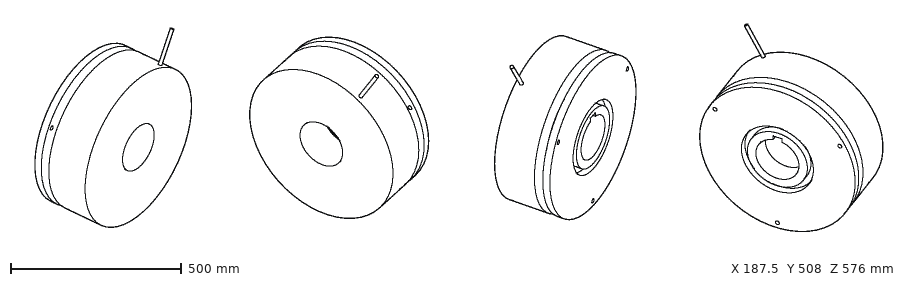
import cadquery as cq
import math

TOTAL_WIDTH = 187.5
FLANGE_THICKNESS = 24.0
BODY_START = 52.5
OUTER_RADIUS = 254.0
NECK_RADIUS = 190.5

BORE_RADIUS = 70.0
CLEARANCE_RADIUS = 75.5
HUB_LENGTH = 64.0
KEYWAY_WIDTH = 29.0
KEYWAY_TOP = 82.0

HUB_RADIUS = 98.0
GAP_OUTER_RADIUS = 117.5
GAP_DEPTH = 24.0

HOLE_COUNT = 3
HOLE_RADIUS = 6.5
HOLE_CIRCLE_RADIUS = 235.0
FIRST_HOLE_ANGLE = -90.0

TOTAL_HEIGHT = 576.0
CABLE_X = 169.0
CABLE_RADIUS = 6.0
CABLE_LEAN = math.radians(30)
CABLE_ROOT = 230.5
CABLE_TOP = TOTAL_HEIGHT - OUTER_RADIUS
CABLE_REACH = (CABLE_TOP - CABLE_RADIUS * math.sin(CABLE_LEAN)) / math.cos(CABLE_LEAN)


def disc(radius, start, end):
    """Solid cylinder about X between two stations."""
    return cq.Workplane("YZ", origin=(start, 0, 0)).circle(radius).extrude(end - start)


def make_drum():
    flange = disc(OUTER_RADIUS, 0, FLANGE_THICKNESS)
    neck = disc(NECK_RADIUS, FLANGE_THICKNESS, BODY_START)
    body = disc(OUTER_RADIUS, BODY_START, TOTAL_WIDTH)
    return flange.union(neck).union(body)


def make_bore():
    keyway = cq.Workplane("XY").box(
        HUB_LENGTH, KEYWAY_WIDTH, KEYWAY_TOP, centered=(False, True, False)
    )
    clearance = disc(CLEARANCE_RADIUS, HUB_LENGTH, TOTAL_WIDTH)
    return disc(BORE_RADIUS, 0, HUB_LENGTH).union(keyway).union(clearance)


def make_hub_gap():
    return disc(GAP_OUTER_RADIUS, 0, GAP_DEPTH).cut(disc(HUB_RADIUS, 0, GAP_DEPTH))


def make_flange_holes():
    return (
        cq.Workplane("YZ")
        .polarArray(HOLE_CIRCLE_RADIUS, FIRST_HOLE_ANGLE, 360, HOLE_COUNT)
        .circle(HOLE_RADIUS)
        .extrude(FLANGE_THICKNESS)
    )


def make_cable():
    direction = cq.Vector(0, math.sin(CABLE_LEAN), math.cos(CABLE_LEAN))
    root = cq.Vector(CABLE_X, 0, 0) + direction * CABLE_ROOT
    return cq.Solid.makeCylinder(CABLE_RADIUS, CABLE_REACH - CABLE_ROOT, root, direction)


drum = make_drum().cut(make_bore()).cut(make_hub_gap()).cut(make_flange_holes())
result = drum.union(cq.Workplane(make_cable()))